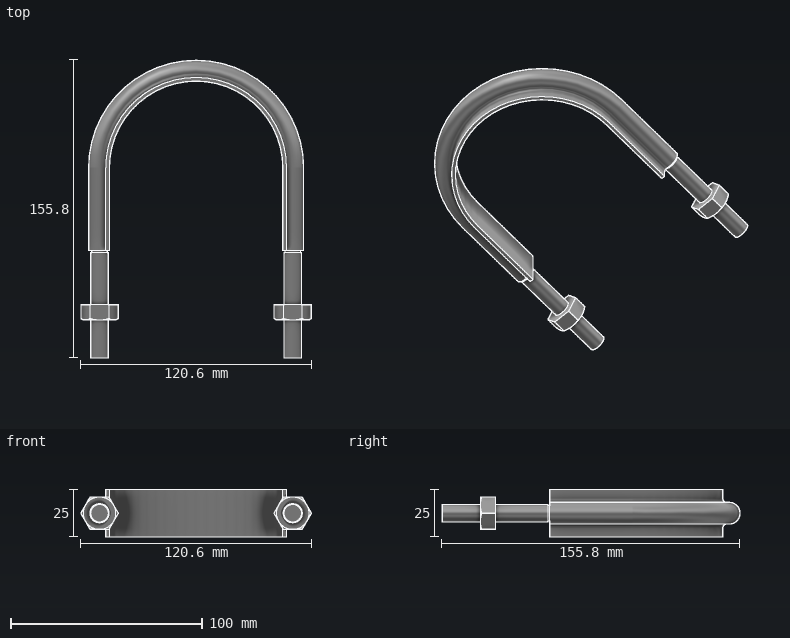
import cadquery as cq
import math

leg_spacing = 101.0
bend_radius = leg_spacing / 2
leg_sides = (-bend_radius, bend_radius)
thread_diameter = 9.2
shank_diameter = 8.2
leg_length = 99.54
leg_tip_y = -leg_length

band_width = 25.0
band_thickness = 2.0
band_inner_radius = 45.25
band_outer_radius = band_inner_radius + band_thickness
rib_radius = 5.75
rib_fillet = 2.0
sleeve_end_y = -43.3
neck_length = 1.0
thread_start_y = sleeve_end_y - neck_length

nut_across_flats = 17.0
nut_across_corners = nut_across_flats / math.cos(math.pi / 6)
nut_rim_diameter = 19.6
nut_height = 8.0
nut_tip_distance = 20.0
nut_face_y = leg_tip_y + nut_tip_distance
nut_face_diameter = nut_across_flats
nut_chamfer_angle = math.radians(30)
nut_chamfer_depth = (nut_rim_diameter - nut_face_diameter) / 2 * math.tan(nut_chamfer_angle)
countersink_diameter = 10.0
countersink_depth = (countersink_diameter - thread_diameter) / 2


def shank_profile():
    """Round rod section on the left leg's axis."""
    return cq.Workplane("XZ").moveTo(-bend_radius, 0).circle(shank_diameter / 2)


def sleeve_profile():
    """Band section with its rib, blended together by two concave fillets."""
    half_width = band_width / 2
    fillet_x = -band_outer_radius - rib_fillet
    centre_offset = fillet_x + bend_radius
    centre_distance = rib_radius + rib_fillet
    fillet_z = math.sqrt(centre_distance**2 - centre_offset**2)
    rib_share = rib_radius / centre_distance
    blend_x = -bend_radius + rib_share * centre_offset
    blend_z = rib_share * fillet_z
    return (
        cq.Workplane("XZ")
        .moveTo(-band_inner_radius, -half_width)
        .lineTo(-band_inner_radius, half_width)
        .lineTo(-band_outer_radius, half_width)
        .lineTo(-band_outer_radius, fillet_z)
        .radiusArc((blend_x, blend_z), rib_fillet)
        .threePointArc((-bend_radius - rib_radius, 0), (blend_x, -blend_z))
        .radiusArc((-band_outer_radius, -fillet_z), rib_fillet)
        .lineTo(-band_outer_radius, -half_width)
        .close()
    )


def u_shape(profile, end_y):
    """Carry a left-leg section up one leg from end_y, round the bend and down the other leg."""
    left_leg = profile().extrude(-end_y)
    bend = profile().revolve(180, (0, 0, 0), (0, -1, 0))
    return left_leg.union(bend).union(left_leg.mirror("YZ"))


def u_bolt():
    bolt = u_shape(shank_profile, thread_start_y)
    for x in leg_sides:
        thread = (
            cq.Workplane("XZ", origin=(x, thread_start_y, 0))
            .circle(thread_diameter / 2)
            .extrude(thread_start_y - leg_tip_y)
        )
        bolt = bolt.union(thread)
    return bolt


def sleeve():
    return u_shape(sleeve_profile, sleeve_end_y).cut(u_shape(shank_profile, sleeve_end_y))


def nut(x):
    hexagon = (
        cq.Workplane("XZ", origin=(x, nut_face_y, 0))
        .polygon(6, nut_across_corners)
        .extrude(-nut_height)
    )
    rim_radius = nut_rim_diameter / 2
    bore_radius = thread_diameter / 2
    chamfered_ring = (
        cq.Workplane("XY", origin=(x, nut_face_y, 0))
        .moveTo(countersink_diameter / 2, 0)
        .lineTo(nut_face_diameter / 2, 0)
        .lineTo(rim_radius, nut_chamfer_depth)
        .lineTo(rim_radius, nut_height)
        .lineTo(bore_radius, nut_height)
        .lineTo(bore_radius, countersink_depth)
        .close()
        .revolve(360, (0, 0, 0), (0, 1, 0))
    )
    return hexagon.intersect(chamfered_ring)


nuts = [nut(x).val() for x in leg_sides]
result = cq.Compound.makeCompound([u_bolt().val(), sleeve().val(), *nuts])